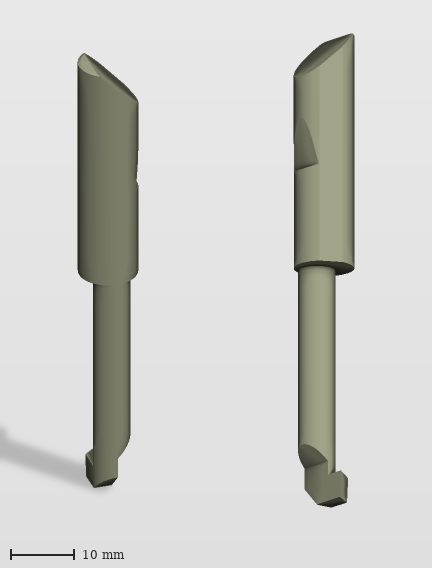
import cadquery as cq

total_length = 76.2
shank_radius = 4.76
shank_bottom = 38.1
neck_radius = 2.93
neck_center_x = shank_radius - neck_radius

bevel_start_y = -2.9
tip_chamfer_width = 0.45
tip_chamfer_height = 0.2

flat_distance = 4.38
flat_direction = 155.5

notch_top = 61.9
notch_root_z = 53.9
notch_bottom = 53.4
notch_root_y = 3.6

back_relief_start = 9.3
rake_face_y = 0.1
corner_bevel = 3.05
head_back_height = 4.3
head_front_height = 3.9
head_tip_x = -4.05
head_front_x = -2.1
head_side_lean = 0.3


def prism_along_x(points):
    """Extrude a YZ outline right across the part."""
    return cq.Workplane("YZ").polyline(points).close().extrude(shank_radius, both=True)


def make_shank():
    shank = (
        cq.Workplane("XY")
        .workplane(offset=shank_bottom)
        .circle(shank_radius)
        .extrude(total_length - shank_bottom)
        .faces(">Z")
        .chamfer(tip_chamfer_height, tip_chamfer_width)
    )

    bevel_run = shank_radius - bevel_start_y
    bevel = prism_along_x([
        (bevel_start_y, total_length),
        (shank_radius, total_length),
        (shank_radius, total_length - bevel_run),
    ])

    flat_cut = (
        cq.Workplane("XY")
        .box(shank_radius, 2 * shank_radius, total_length, centered=(False, True, False))
        .translate((flat_distance, 0, 0))
        .rotate((0, 0, 0), (0, 0, 1), flat_direction)
    )

    notch = prism_along_x([
        (shank_radius, notch_top),
        (notch_root_y, notch_root_z),
        (shank_radius, notch_bottom),
    ])
    return shank.cut(bevel).cut(flat_cut).cut(notch)


def make_neck():
    neck = cq.Workplane("XY").center(neck_center_x, 0).circle(neck_radius).extrude(shank_bottom)

    relief = prism_along_x([
        (rake_face_y, 0),
        (rake_face_y, back_relief_start - (neck_radius - rake_face_y)),
        (neck_radius, back_relief_start),
        (neck_radius, 0),
    ])

    corner = (
        cq.Workplane("XZ")
        .polyline([
            (shank_radius, 0),
            (shank_radius, corner_bevel),
            (shank_radius - corner_bevel, 0),
        ])
        .close()
        .extrude(neck_radius, both=True)
    )
    return neck.cut(relief).cut(corner)


def head_outline(lean):
    """Corners of the head in plan, its free side moved toward -X by lean."""
    return [
        (head_tip_x - lean, rake_face_y),
        (head_front_x - lean, -neck_radius),
        (neck_center_x, -neck_radius),
        (neck_center_x, rake_face_y),
    ]


def make_head():
    head = (
        cq.Workplane("XY")
        .polyline(head_outline(0))
        .close()
        .workplane(offset=head_back_height)
        .polyline(head_outline(head_side_lean))
        .close()
        .loft(ruled=True)
    )
    top_slope = prism_along_x([
        (rake_face_y, head_back_height),
        (-neck_radius, head_back_height),
        (-neck_radius, head_front_height),
    ])
    return head.cut(top_slope)


result = make_shank().union(make_neck()).union(make_head())